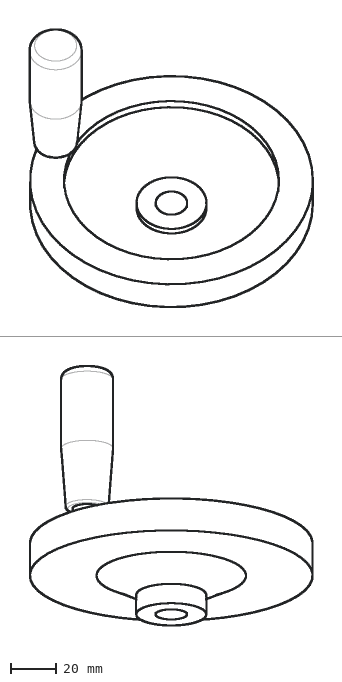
import cadquery as cq

overall_length = 129.0
overall_height = 100.5

wheel_diameter = 125.0
wheel_radius = wheel_diameter / 2
rim_height = 15.0
dish_radius = 47.5
dish_wall_depth = 4.0
dish_floor_depth = 17.9
web_radius = 33.0
web_bottom_depth = 24.0
hub_radius = 15.5
hub_top_depth = rim_height
hub_bottom_depth = 33.0
bore_radius = 7.0

handle_offset = 55.0
neck_radius = 6.5
neck_height = 2.6
grip_radius = overall_length - wheel_radius - handle_offset
grip_foot_radius = 9.5
foot_fillet = 1.0
taper_top = 30.6
shoulder_height = 62.8
shoulder_radius = 9.3
shoulder_top = 66.0
handle_height = overall_height - hub_bottom_depth


def make_wheel():
    """Revolve the half section of rim, conical web and bored hub."""
    return (
        cq.Workplane("XZ")
        .moveTo(bore_radius, -hub_bottom_depth)
        .lineTo(hub_radius, -hub_bottom_depth)
        .lineTo(hub_radius, -web_bottom_depth)
        .lineTo(web_radius, -rim_height)
        .lineTo(wheel_radius, -rim_height)
        .lineTo(wheel_radius, 0)
        .lineTo(dish_radius, 0)
        .lineTo(dish_radius, -dish_wall_depth)
        .lineTo(hub_radius, -dish_floor_depth)
        .lineTo(hub_radius, -hub_top_depth)
        .lineTo(bore_radius, -hub_top_depth)
        .close()
        .revolve(360, (0, 0, 0), (0, 1, 0))
    )


def make_handle():
    """Revolve the neck and the tapered grip with its domed top."""
    dome_rise = handle_height - shoulder_top
    dome_radius = (shoulder_radius**2 + dome_rise**2) / (2 * dome_rise)
    foot_top = neck_height + foot_fillet
    return (
        cq.Workplane("XZ")
        .lineTo(neck_radius, 0)
        .lineTo(neck_radius, neck_height)
        .lineTo(grip_foot_radius - foot_fillet, neck_height)
        .radiusArc((grip_foot_radius, foot_top), -foot_fillet)
        .lineTo(grip_radius, taper_top)
        .lineTo(grip_radius, shoulder_height)
        .tangentArcPoint((shoulder_radius, shoulder_top), relative=False)
        .radiusArc((0, handle_height), -dome_radius)
        .close()
        .revolve(360, (0, 0, 0), (0, 1, 0))
        .translate((-handle_offset, 0, 0))
    )


result = make_wheel().union(make_handle())